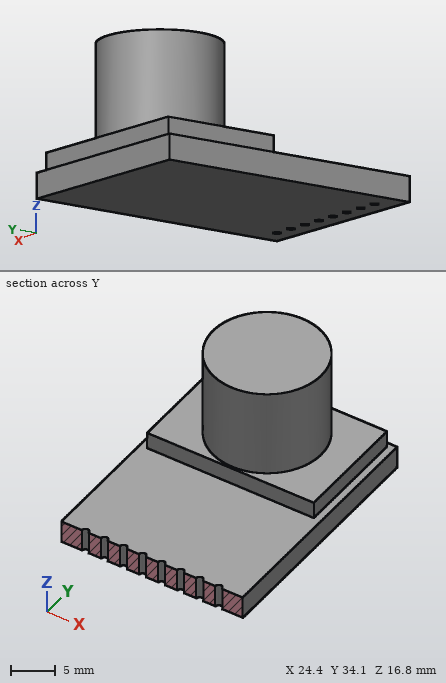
import cadquery as cq

board_width = 24.35
board_length = 34.1
board_thickness = 3.0

base_width = 22.35
base_length = 15.0
base_height = 2.2
base_back_margin = 0.58

housing_diameter = 14.5
total_height = 16.75
housing_height = total_height - board_thickness - base_height

hole_diameter = 0.9
hole_count = 8
hole_pitch = 2.55
hole_edge_distance = 2.5

base_center_y = board_length / 2 - base_back_margin - base_length / 2
hole_row_y = -board_length / 2 + hole_edge_distance
base_top = board_thickness + base_height


def make_board():
    """Flat board with its underside at Z = 0 and a row of through holes."""
    board = cq.Workplane("XY").box(
        board_width, board_length, board_thickness, centered=(True, True, False)
    )
    first_hole_x = -hole_pitch * (hole_count - 1) / 2
    hole_centers = [(first_hole_x + i * hole_pitch, hole_row_y) for i in range(hole_count)]
    holes = (
        cq.Workplane("XY")
        .pushPoints(hole_centers)
        .circle(hole_diameter / 2)
        .extrude(board_thickness)
    )
    return board.cut(holes)


def make_base():
    """Rectangular base standing on the board."""
    return (
        cq.Workplane("XY", origin=(0, base_center_y, board_thickness))
        .rect(base_width, base_length)
        .extrude(base_height)
    )


def make_housing():
    """Solid cylinder standing on the base."""
    return (
        cq.Workplane("XY", origin=(0, base_center_y, base_top))
        .circle(housing_diameter / 2)
        .extrude(housing_height)
    )


result = make_board().union(make_base()).union(make_housing())